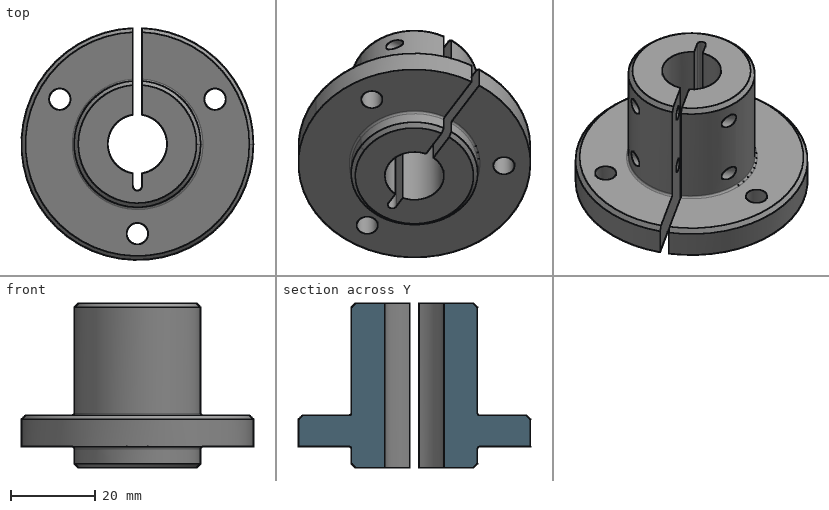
import cadquery as cq
import math

flange_diameter = 55.0
flange_bottom = 5.0
flange_top = 12.5
hub_diameter = 30.0
height = 39.0
bore_diameter = 13.95
edge_chamfer = 1.0
root_fillet = 0.5

slot_width = 2.1
relief_reach = 11.0

bolt_hole_diameter = 5.0
bolt_circle_radius = 21.25
bolt_angles = (30, 150, 270)

clamp_hole_diameter = 3.3
clamp_hole_y = 9.5
clamp_hole_heights = (17.4, 33.45)

flange_radius = flange_diameter / 2
hub_radius = hub_diameter / 2


def make_body():
    """Revolve the flanged hub, with chamfered rims and filleted roots."""
    fillet_mid = root_fillet * (1 - math.sqrt(0.5))
    return (
        cq.Workplane("XZ")
        .moveTo(0, 0)
        .lineTo(hub_radius - edge_chamfer, 0)
        .lineTo(hub_radius, edge_chamfer)
        .lineTo(hub_radius, flange_bottom - root_fillet)
        .threePointArc(
            (hub_radius + fillet_mid, flange_bottom - fillet_mid),
            (hub_radius + root_fillet, flange_bottom),
        )
        .lineTo(flange_radius, flange_bottom)
        .lineTo(flange_radius, flange_top - edge_chamfer)
        .lineTo(flange_radius - edge_chamfer, flange_top)
        .lineTo(hub_radius + root_fillet, flange_top)
        .threePointArc(
            (hub_radius + fillet_mid, flange_top + fillet_mid),
            (hub_radius, flange_top + root_fillet),
        )
        .lineTo(hub_radius, height - edge_chamfer)
        .lineTo(hub_radius - edge_chamfer, height)
        .lineTo(0, height)
        .close()
        .revolve(360, (0, 0), (0, 1))
    )


def make_bore():
    return cq.Workplane("XY").circle(bore_diameter / 2).extrude(height)


def make_slots():
    """Clamping slit through the +Y rim, and a round-ended relief slot toward -Y."""
    slit = (
        cq.Workplane("XY")
        .center(0, flange_radius / 2)
        .rect(slot_width, flange_radius)
        .extrude(height)
    )
    relief = (
        cq.Workplane("XY")
        .center(0, -relief_reach / 2)
        .slot2D(relief_reach, slot_width, 90)
        .extrude(height)
    )
    return slit.union(relief)


def make_bolt_holes():
    centers = [
        (
            bolt_circle_radius * math.cos(math.radians(angle)),
            bolt_circle_radius * math.sin(math.radians(angle)),
        )
        for angle in bolt_angles
    ]
    return cq.Workplane("XY").pushPoints(centers).circle(bolt_hole_diameter / 2).extrude(height)


def make_clamp_holes():
    """Screw holes along X, crossing the slit from side to side of the hub."""
    centers = [(clamp_hole_y, z) for z in clamp_hole_heights]
    return (
        cq.Workplane("YZ")
        .pushPoints(centers)
        .circle(clamp_hole_diameter / 2)
        .extrude(hub_radius, both=True)
    )


result = (
    make_body()
    .cut(make_bore())
    .cut(make_slots())
    .cut(make_bolt_holes())
    .cut(make_clamp_holes())
)